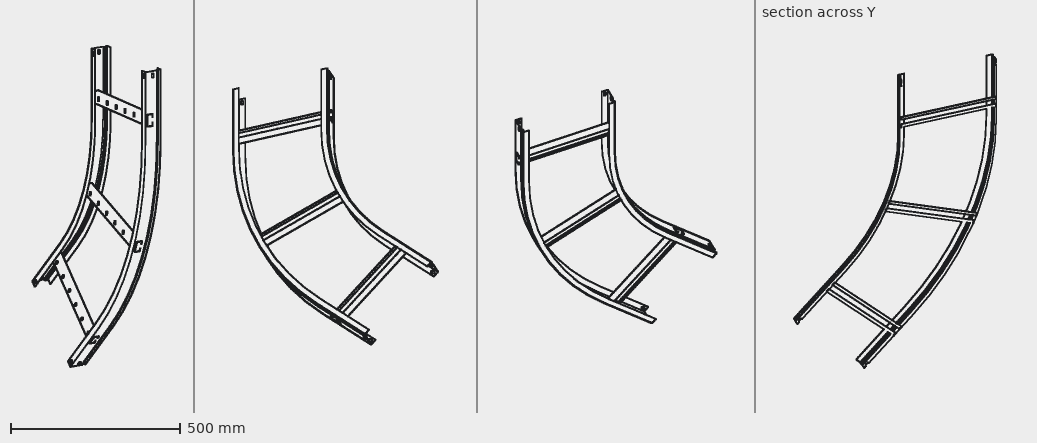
import cadquery as cq
import math


total_height = 1008.0
bend_angle = 45.0
inside_bend_radius = 600.0
tray_width = 300.0
outside_bend_radius = inside_bend_radius + tray_width
bend_sine = math.sin(math.radians(bend_angle))
leg_length = (total_height - outside_bend_radius * bend_sine) / (1 + bend_sine)

rail_depth = 55.0
flange_width = 20.0
rail_sheet = 1.5
rail_bend_radius = 3.0
back_y = rail_depth / 2
front_y = -rail_depth / 2

groove_depth = 4.0
groove_start = 3.5
groove_floor_start = 8.6
groove_floor_end = 11.0
groove_end = 14.6
groove_wall_shift = 1.0

end_slot_width = 7.0
end_slot_length = 13.0
end_slot_inset = 14.0
web_slot_from_front = 26.0

rung_height = 38.0
rung_depth = 19.0
rung_sheet = 1.5
rung_lip = 11.0
rung_bend_radius = 3.0
rung_from_front = 7.0
rung_from_end = 150.0
middle_rung_angle = 22.0
rung_slot_count = 6
rung_slot_pitch = 49.0
rung_slot_width = 7.0
rung_slot_length = 13.0


def turn(body, angle):
    """Turn a body about the bend axis, from +X towards -Z."""
    return body.rotate((0, 0, 0), (0, 1, 0), angle)


def rail_section(web_radius, inward):
    """Channel outline in the XY plane: the web at web_radius, its flanges pointing inward."""

    def at(depth, y):
        return (web_radius + inward * depth, y)

    corner_cut = rail_bend_radius * (1 - math.sqrt(0.5))
    inner_groove_depth = groove_depth + rail_sheet
    return (
        cq.Workplane("XY")
        .moveTo(*at(flange_width, front_y))
        .lineTo(*at(0, front_y))
        .lineTo(*at(0, back_y - groove_end))
        .lineTo(*at(groove_depth, back_y - groove_floor_end))
        .lineTo(*at(groove_depth, back_y - groove_floor_start))
        .lineTo(*at(0, back_y - groove_start))
        .lineTo(*at(0, back_y - rail_bend_radius))
        .threePointArc(at(corner_cut, back_y - corner_cut), at(rail_bend_radius, back_y))
        .lineTo(*at(flange_width, back_y))
        .lineTo(*at(flange_width, back_y - rail_sheet))
        .lineTo(*at(rail_bend_radius, back_y - rail_sheet))
        .lineTo(*at(inner_groove_depth, back_y - groove_floor_start + groove_wall_shift))
        .lineTo(*at(inner_groove_depth, back_y - groove_floor_end - groove_wall_shift))
        .lineTo(*at(rail_sheet, back_y - groove_end - groove_wall_shift))
        .lineTo(*at(rail_sheet, front_y + rail_sheet))
        .lineTo(*at(flange_width, front_y + rail_sheet))
        .close()
    )


def end_slots(web_radius, inward, z):
    """Cutters for one rail end: a slot through the web and one through the front flange."""
    web_slot = (
        cq.Workplane("YZ", origin=(web_radius, front_y + web_slot_from_front, z))
        .slot2D(end_slot_length, end_slot_width, 90)
        .extrude(rail_sheet, both=True)
    )
    flange_slot = (
        cq.Workplane("XZ", origin=(web_radius + inward * flange_width / 2, front_y, z))
        .slot2D(end_slot_length, end_slot_width, 90)
        .extrude(rail_sheet, both=True)
    )
    return web_slot.union(flange_slot)


def make_rail(web_radius, inward):
    """One rail: upper leg, bend and lower leg, with slots at both ends."""
    slot_z = leg_length - end_slot_inset
    upper_leg = rail_section(web_radius, inward).extrude(leg_length)
    upper_leg = upper_leg.cut(end_slots(web_radius, inward, slot_z))
    bend = rail_section(web_radius, inward).revolve(bend_angle, (0, 0), (0, 1))
    lower_leg = rail_section(web_radius, inward).extrude(-leg_length)
    lower_leg = lower_leg.cut(end_slots(web_radius, inward, -slot_z))
    return upper_leg.union(bend).union(turn(lower_leg, bend_angle)).clean()


def rounded_bar(start, depth, height, corner_radius):
    """Bar across the whole tray with its four long edges rounded."""
    return (
        cq.Workplane("YZ", origin=start)
        .rect(depth, height)
        .extrude(tray_width)
        .edges("|X")
        .fillet(corner_radius)
    )


def make_rung(z, angle):
    """One rung across the tray, open at the back, at height z and then turned by angle."""
    front_face_y = front_y + rung_from_front
    bar_start = (inside_bend_radius, front_face_y + rung_depth / 2, z)
    outer_bar = rounded_bar(bar_start, rung_depth, rung_height, rung_bend_radius)
    hollow = rounded_bar(
        bar_start,
        rung_depth - 2 * rung_sheet,
        rung_height - 2 * rung_sheet,
        rung_bend_radius - rung_sheet,
    )
    mouth = (
        cq.Workplane("YZ", origin=(inside_bend_radius, front_face_y + rung_depth, z))
        .rect(2 * (rung_depth - rung_sheet), rung_height - 2 * rung_lip)
        .extrude(tray_width)
    )
    slots = (
        cq.Workplane("XZ", origin=(inside_bend_radius + tray_width / 2, front_face_y, z))
        .rarray(rung_slot_pitch, 10, rung_slot_count, 1)
        .slot2D(rung_slot_length, rung_slot_width, 90)
        .extrude(rung_sheet, both=True)
    )
    return turn(outer_bar.cut(hollow).cut(mouth).cut(slots), angle)


rung_z = leg_length - rung_from_end
rungs = [
    make_rung(z, angle)
    for z, angle in [(rung_z, 0), (0, middle_rung_angle), (-rung_z, bend_angle)]
]

inside_rail = make_rail(inside_bend_radius, 1)
outside_rail = make_rail(outside_bend_radius, -1)

for rung in rungs:
    inside_rail = inside_rail.cut(rung)
    outside_rail = outside_rail.cut(rung)

bodies = [inside_rail, outside_rail, *rungs]
result = cq.Compound.makeCompound([body.solids().val() for body in bodies])